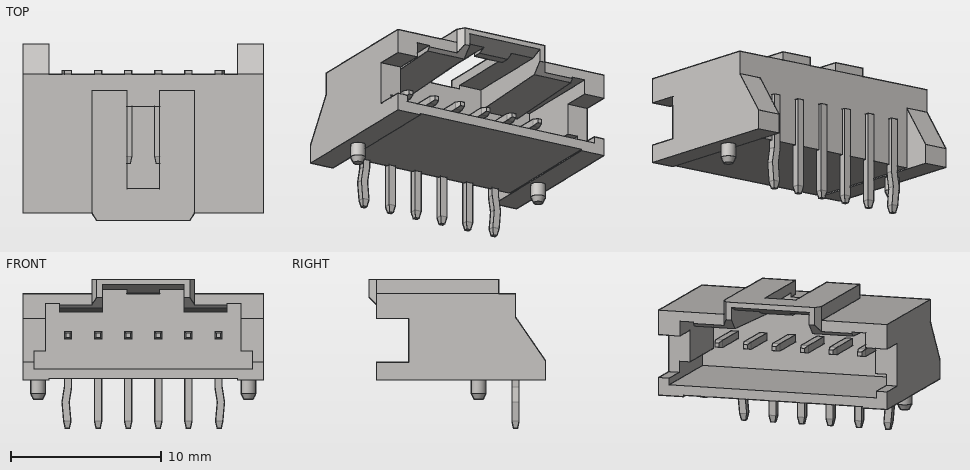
import cadquery as cq


width = 16.0
shell_depth = 9.25
shell_top = 5.76
foot_width = 1.75
foot_height = 0.1

wing_depth = 11.25
wing_back_height = 1.3
wing_slope_top = 4.2

hood_width = 6.82
hood_top = 6.7
hood_overhang = 0.5
hood_depth = 8.15
hood_corner = 0.3

cavity_depth = 7.1
cavity_floor = 0.75
cavity_ceiling = 4.53
cavity_width = 13.0
base_width = 14.5
base_top = 1.95
groove_top = 5.1
groove_inner_width = 11.1

channel_width = 5.44
channel_top = 6.02
channel_mouth_top = 6.35
catch_bottom = 5.8
catch_flat_front = 0.96
window_width = 2.16
window_front = 1.63

lead_in_top = 5.5
lead_in_depth = 0.22

notch_depth = 2.15
notch_bottom = 1.2
notch_top = 4.1

peg_diameter = 1.0
peg_end_diameter = 0.6
peg_length = 1.28
peg_cone = 0.38
peg_x = 7.0
peg_y = 6.8

pin_count = 6
pitch = 2.0
pin_size = 0.5
pin_end_size = 0.29
pin_taper = 0.48
pin_z = 2.98
pin_front = 3.3
pin_bottom = -3.2
leg_y = shell_depth
kink_start_z = -0.45
kink_z = -1.45
kink_offset = 0.16
kink_end_offset = 0.05

hood_front = -hood_overhang
mouth_slope = (channel_mouth_top - catch_bottom) / (catch_flat_front - hood_front)
channel_mouth_end = hood_front + (channel_mouth_top - channel_top) / mouth_slope
lead_in_bottom = lead_in_top - (lead_in_depth - hood_front)


def block(x_size, y_range, z_range, x_center=0.0):
    """Box centred on x_center, between the given Y and Z limits."""
    y0, y1 = y_range
    z0, z1 = z_range
    center = (x_center, (y0 + y1) / 2, (z0 + z1) / 2)
    return cq.Workplane("XY").box(x_size, y1 - y0, z1 - z0).translate(center)


def side_profile(points, x_size, x_center=0.0):
    """Extrude an outline of (Y, Z) points along X, centred on x_center."""
    return cq.Workplane("YZ").polyline(points).close().extrude(x_size / 2, both=True).translate((x_center, 0, 0))


def make_shell():
    """Raised centre block between two full-height sides that end in sloped wings."""
    shell = block(width - 2 * foot_width, (0, shell_depth), (foot_height, shell_top))
    outline = [
        (0, 0),
        (wing_depth, 0),
        (wing_depth, wing_back_height),
        (shell_depth, wing_slope_top),
        (shell_depth, shell_top),
        (0, shell_top),
    ]
    for side in (-1, 1):
        shell = shell.union(side_profile(outline, foot_width, side * (width - foot_width) / 2))
    return shell


def make_hood():
    """Raised block with bevelled front corners and a slot that leaves two prongs at the back."""
    half = hood_width / 2
    hood = (
        cq.Workplane("XY")
        .workplane(offset=cavity_ceiling)
        .polyline([
            (-half, hood_depth),
            (-half, 0),
            (-half + hood_corner, hood_front),
            (half - hood_corner, hood_front),
            (half, 0),
            (half, hood_depth),
        ])
        .close()
        .extrude(hood_top - cavity_ceiling)
    )
    return hood.cut(block(window_width, (window_front, hood_depth), (cavity_ceiling, hood_top)))


def make_cavity():
    """Space for the mating plug: stepped opening, ceiling grooves, mouth lead-in and falling ceiling."""
    depth = (0, cavity_depth)
    cavity = block(cavity_width, depth, (cavity_floor, cavity_ceiling))
    cavity = cavity.union(block(base_width, depth, (cavity_floor, base_top)))
    grooves = block(cavity_width, depth, (cavity_floor, groove_top))
    grooves = grooves.cut(block(groove_inner_width, depth, (cavity_floor, groove_top)))
    ceiling_relief = side_profile(
        [
            (hood_front, cavity_ceiling),
            (hood_front, lead_in_top),
            (lead_in_depth, lead_in_bottom),
            (cavity_depth, cavity_ceiling),
        ],
        groove_inner_width,
    )
    return cavity.union(grooves).union(ceiling_relief)


def make_latch_channel():
    """Channel under the hood with a sloped mouth, leaving the catch bar in front of the window."""
    channel = side_profile(
        [
            (hood_front, cavity_floor),
            (hood_front, channel_mouth_top),
            (channel_mouth_end, channel_top),
            (cavity_depth, channel_top),
            (cavity_depth, cavity_floor),
        ],
        channel_width,
    )
    catch = side_profile(
        [
            (channel_mouth_end, channel_top),
            (catch_flat_front, catch_bottom),
            (window_front, catch_bottom),
            (window_front, channel_top),
        ],
        window_width,
    )
    return channel.cut(catch)


def make_notches():
    """Openings through both side walls at the mating face."""
    return block(width, (0, notch_depth), (notch_bottom, notch_top))


def make_peg(x):
    """Round board peg with a conical end."""
    radius = peg_diameter / 2
    outline = [
        (0, 0),
        (radius, 0),
        (radius, peg_cone - peg_length),
        (peg_end_diameter / 2, -peg_length),
        (0, -peg_length),
    ]
    peg = cq.Workplane("XZ").polyline(outline).close().revolve(360, (0, 0), (0, 1))
    return peg.translate((x, peg_y, 0))


def square_section(center, size, normal):
    """Square wire of the given size around a point, facing along normal."""
    plane = cq.Plane(origin=center, xDir=(1, 0, 0), normal=normal)
    return cq.Workplane(plane).rect(size, size).val()


def make_bar(sections, normal):
    """Straight-sided bar through (centre, size) square sections."""
    wires = [square_section(center, size, normal) for center, size in sections]
    return cq.Workplane(cq.Solid.makeLoft(wires, True))


def make_pin(x, kink):
    """Right-angle contact; kink is -1 or 1 for a leg bowed towards that X side, 0 for a straight leg."""
    contact = make_bar(
        [
            ((x, pin_front, pin_z), pin_end_size),
            ((x, pin_front + pin_taper, pin_z), pin_size),
            ((x, leg_y + pin_size / 2, pin_z), pin_size),
        ],
        (0, 1, 0),
    )
    taper_z = pin_bottom + pin_taper
    end_x = x + kink * kink_end_offset
    leg = make_bar(
        [
            ((x, leg_y, pin_z), pin_size),
            ((x, leg_y, kink_start_z), pin_size),
            ((x + kink * kink_offset, leg_y, kink_z), pin_size),
            ((end_x, leg_y, taper_z), pin_size),
            ((end_x, leg_y, pin_bottom), pin_end_size),
        ],
        (0, 0, -1),
    )
    return contact.union(leg).solids()


def make_pins():
    """Row of contacts; the two outer legs bow outwards."""
    pins = []
    for index in range(pin_count):
        x = (index - (pin_count - 1) / 2) * pitch
        kink = 0
        if index == 0:
            kink = -1
        elif index == pin_count - 1:
            kink = 1
        pins.append(make_pin(x, kink))
    return pins


def make_housing(pins):
    """Complete housing with its pegs and a matching passage for every pin."""
    housing = make_shell().union(make_hood())
    for cutter in (make_cavity(), make_latch_channel(), make_notches()):
        housing = housing.cut(cutter)
    for x in (-peg_x, peg_x):
        housing = housing.union(make_peg(x))
    for pin in pins:
        housing = housing.cut(pin)
    return housing.solids()


contact_pins = make_pins()
housing = make_housing(contact_pins)

result = cq.Compound.makeCompound([housing.val(), *(pin.val() for pin in contact_pins)])